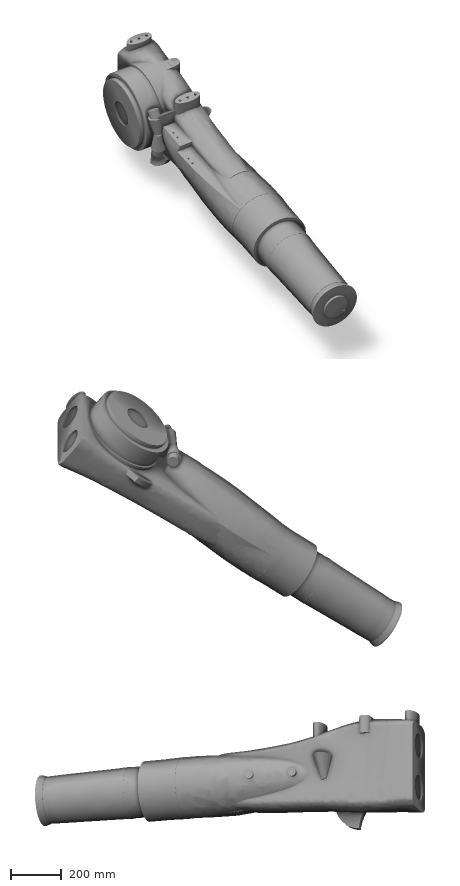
import cadquery as cq
import math


BACK_X = -198.6
OVERALL_LENGTH = 1565.5
TIP_X = BACK_X + OVERALL_LENGTH
AXIS_Z = -40.0

CASING_STATIONS = [
    (BACK_X, 81, 137, -211, 7),
    (-145, 79, 156, -206, 16),
    (-75, 70, 167, -203, 20),
    (5, 65, 170.5, -198, 20),
    (161, 64, 140, -181, 18),
    (300, 64, 107, -171, 18),
    (450, 64, 89, -161, 16),
    (530, 61, 84, -151, 13),
    (608, 50, 80, -140, 9),
]
HAUNCH_FRACTION = 0.8
BELLY_RISE = 7.0
SHOULDER_DEPTH = 22.0
HAUNCH_SLOPE = 0.6
CABLE_RECESS_RADIUS = 50.0
CABLE_RECESS_DEPTH = 8.0
CABLE_RECESS_HEIGHTS = (47, -123)

COLLAR_RADIUS = 171.0
COLLAR_FACE_Y = -80.0
DRUM_RADIUS = 163.0
DRUM_FACE_Y = -161.0
DRUM_PLATE_RADIUS = 143.0
DRUM_PLATE_FACE_Y = -180.0
DRUM_RECESS_RADIUS = 52.0
DRUM_RECESS_DEPTH = 8.0

SWELL_POINTS = [(320, 86), (484, 107), (600, 116.5)]
SWELL_START = (200, 50)
FOREARM_END_X = 764.0
FOREARM_RADIUS = 122.0
SLEEVE_MID_X = 844.0
SLEEVE_END_X = 923.0
SLEEVE_RADIUS = 119.5
TUBE_RADIUS = 101.0
TUBE_BAND_X = (990.0, 1009.0)
TUBE_BAND_RADIUS = 102.0
TUBE_NECK_X = 1268.0
TUBE_NECK_RADIUS = 95.0
TUBE_END_RADIUS = 93.0
FLANGE_START_X = 1327.0
FLANGE_RADIUS = 100.0
FLANGE_RIM_X = 1348.0
FLANGE_END_X = 1354.0
SPIGOT_RADIUS = 51.0
SPIGOT_END_X = TIP_X - 4.0
PIN_RADIUS = 4.0
PIN_Y = 36.0
PIN_DROP = 34.0
GROOVE_WIDTH = 5.0
GROOVE_DEPTH = 1.5
GROOVE_CLEARANCE = 20.0

SHELF_X = (218.0, 349.0)
SHELF_TOP_Z = 72.0
POD_STATIONS = [
    (SHELF_X[0], -116, -118, 10, -52),
    (330, -118, -130, -20, -105),
    (480, -114, -134, -25, -148),
    (600, -96, -132, -32, -156),
    (FOREARM_END_X, -48, -122, AXIS_Z, -150),
]
POD_TOP_Z = 48.0
POD_BOTTOM_Y = -52.0
SCREW_RADIUS = 4.5
SCREW_DEPTH = 12.0
SHELF_SCREWS = [(269, -100), (300, -100)]
POD_SCREWS = [(405, -112), (437, -112)]

LUG_HALF_LENGTH = 55.5
LUG_HALF_WIDTH = 24.0
LUG_BASE_Z = 105.0
REAR_LUG = (-171.0, 182.0)
FRONT_LUG = (208.0, 167.0)
LUG_HOLE_RADIUS = 6.0
LUG_HOLE_DEPTH = 20.0
LUG_HOLE_PITCH = 35.0

GUIDE_Y = -134.0
GUIDE_HOSE_RADIUS = 22.0
GUIDE_FLARE_RADIUS = 29.0
GUIDE_WAIST_RADIUS = 16.0
GUIDE_TOP = (168.0, GUIDE_Y, 131.0)
GUIDE_TOP_FLARE = (185.0, GUIDE_Y, 105.0)
GUIDE_WAIST = (207.0, GUIDE_Y, 35.0)
GUIDE_LOW_FLARE = (209.0, GUIDE_Y, -38.0)
GUIDE_LOW = (205.0, GUIDE_Y, -69.0)
GUIDE_ARM = [(157, 85), (212, 128), (212, 40), (192, 40)]

HOSE_STUB_X = 5.0
HOSE_STUB_Y = 57.0
HOSE_STUB_TOP_Z = 171.0
HOSE_STUB_BASE_Z = 100.0
HOSE_STUB_RADIUS = 22.5
SADDLE_WIDTH = 48.0
SADDLE_INNER_Y = 13.0
SADDLE_TOP_Z = 169.5

BRACKET_X = 173.0
BRACKET_Y = 60.0
BRACKET_TOP_Z = 22.0
BRACKET_HEIGHT = 95.0
BRACKET_HALF_WIDTH = 37.0
BRACKET_REACH = 66.5
BRACKET_FOOT_RADIUS = 12.0

BUTTON_RADIUS = 16.0
BUTTONS = [(296, 93.0), (466, 113.0)]
BUTTON_INNER_Y = 40.0

FIN_OUTER = [(35, -180), (70, -247.4), (155, -180)]
FIN_EDGE_MIDS = [(60, -220), (120, -230)]
FIN_STRIP_INNER = [(-38, -180), (-50, -210), (-66, -252)]
FIN_STRIP_WIDTH = 26.0


def disc_y(radius, start_y, end_y):
    """Cylinder on the drum axis between two y positions."""
    return cq.Workplane("XZ", origin=(0, start_y, 0)).circle(radius).extrude(start_y - end_y)


def rod(start, end, start_radius, end_radius=None):
    """Cylinder or cone between two points."""
    span = cq.Vector(*end) - cq.Vector(*start)
    base = cq.Vector(*start)
    if end_radius is None:
        solid = cq.Solid.makeCylinder(start_radius, span.Length, base, span)
    else:
        solid = cq.Solid.makeCone(start_radius, end_radius, span.Length, base, span)
    return cq.Workplane(obj=solid)


def casing_half_edge(x, half_width, top, bottom, drop):
    """One side of a section, from the crest over the haunch and down to the lowest point."""
    haunch_y = HAUNCH_FRACTION * half_width
    shoulder = top - drop - SHOULDER_DEPTH
    foot = bottom + BELLY_RISE + SHOULDER_DEPTH
    side = math.copysign(1, half_width)
    course = [
        (0, top, side, 0),
        (haunch_y, top - drop, side, -HAUNCH_SLOPE),
        (half_width, shoulder, 0, -1),
        (half_width, foot, 0, -1),
        (haunch_y, bottom + BELLY_RISE, -side, -HAUNCH_SLOPE),
        (0, bottom, -side, 0),
    ]
    points = [cq.Vector(x, y, z) for y, z, _, _ in course]
    headings = [cq.Vector(0, y, z).normalized() for _, _, y, z in course]
    return cq.Edge.makeSpline(points, tangents=headings)


def casing_section(x, half_width, top, bottom, drop):
    """Rounded upright section made of two mirrored halves that meet on the Y = 0 plane."""
    return cq.Wire.assembleEdges([
        casing_half_edge(x, half_width, top, bottom, drop),
        casing_half_edge(x, -half_width, top, bottom, drop),
    ])


def make_casing():
    wires = [casing_section(*station) for station in CASING_STATIONS]
    casing = cq.Workplane(obj=cq.Solid.makeLoft(wires))
    for height in CABLE_RECESS_HEIGHTS:
        recess = rod((BACK_X, 0, height), (BACK_X + CABLE_RECESS_DEPTH, 0, height), CABLE_RECESS_RADIUS)
        casing = casing.cut(recess)
    return casing


def make_drum():
    drum = disc_y(COLLAR_RADIUS, 0, COLLAR_FACE_Y)
    drum = drum.union(disc_y(DRUM_RADIUS, 0, DRUM_FACE_Y))
    drum = drum.union(disc_y(DRUM_PLATE_RADIUS, 0, DRUM_PLATE_FACE_Y))
    return drum.cut(disc_y(DRUM_RECESS_RADIUS, DRUM_PLATE_FACE_Y + DRUM_RECESS_DEPTH, DRUM_PLATE_FACE_Y))


def groove(x, radius):
    """Ring that cuts a shallow seam groove around the forearm axis."""
    seam_plane = cq.Workplane("YZ", origin=(x, 0, AXIS_Z))
    ring = seam_plane.circle(radius + GROOVE_CLEARANCE).circle(radius - GROOVE_DEPTH)
    return ring.extrude(GROOVE_WIDTH)


def make_forearm():
    """Swell, sleeve, wrist tube, end flange and spigot, turned about the forearm axis."""
    profile = (
        cq.Workplane("XZ", origin=(0, 0, AXIS_Z))
        .moveTo(SWELL_START[0], 0)
        .lineTo(*SWELL_START)
        .spline(SWELL_POINTS + [(FOREARM_END_X, FOREARM_RADIUS)], includeCurrent=True)
        .lineTo(SLEEVE_MID_X, SLEEVE_RADIUS)
        .lineTo(SLEEVE_END_X, SLEEVE_RADIUS)
        .lineTo(SLEEVE_END_X, TUBE_RADIUS)
        .lineTo(TUBE_BAND_X[0], TUBE_RADIUS)
        .lineTo(TUBE_BAND_X[0], TUBE_BAND_RADIUS)
        .lineTo(TUBE_BAND_X[1], TUBE_BAND_RADIUS)
        .lineTo(TUBE_BAND_X[1], TUBE_RADIUS)
        .lineTo(TUBE_NECK_X, TUBE_NECK_RADIUS)
        .lineTo(FLANGE_START_X, TUBE_END_RADIUS)
        .lineTo(FLANGE_RIM_X, FLANGE_RADIUS)
        .lineTo(FLANGE_END_X, FLANGE_RADIUS)
        .lineTo(FLANGE_END_X, SPIGOT_RADIUS)
        .lineTo(SPIGOT_END_X, SPIGOT_RADIUS)
        .lineTo(SPIGOT_END_X, 0)
        .close()
    )
    forearm = profile.revolve(360, (0, 0, 0), (1, 0, 0))
    pin_z = AXIS_Z - PIN_DROP
    return forearm.union(rod((FLANGE_END_X, PIN_Y, pin_z), (TIP_X, PIN_Y, pin_z), PIN_RADIUS))


def pod_section(x, top_y, widest_y, widest_z, bottom_z):
    """Flat-topped half round on the -Y side."""
    inner_top = cq.Vector(x, 0, SHELF_TOP_Z)
    outer_top = cq.Vector(x, top_y, SHELF_TOP_Z)
    outer_bottom = cq.Vector(x, POD_BOTTOM_Y, bottom_z)
    inner_bottom = cq.Vector(x, 0, bottom_z)
    return cq.Wire.assembleEdges([
        cq.Edge.makeLine(inner_top, outer_top),
        cq.Edge.makeThreePointArc(outer_top, cq.Vector(x, widest_y, widest_z), outer_bottom),
        cq.Edge.makeLine(outer_bottom, inner_bottom),
        cq.Edge.makeLine(inner_bottom, inner_top),
    ])


def make_pod():
    wires = [pod_section(*station) for station in POD_STATIONS]
    pod = cq.Workplane(obj=cq.Solid.makeLoft(wires))
    step_length = FOREARM_END_X - SHELF_X[1]
    step = (
        cq.Workplane("XY", origin=(SHELF_X[1], -FOREARM_RADIUS * 2, POD_TOP_Z))
        .box(step_length, FOREARM_RADIUS * 2, FOREARM_RADIUS, centered=False)
    )
    pod = pod.cut(step)
    for screws, top in ((SHELF_SCREWS, SHELF_TOP_Z), (POD_SCREWS, POD_TOP_Z)):
        holes = cq.Workplane("XY", origin=(0, 0, top)).pushPoints(screws).circle(SCREW_RADIUS)
        pod = pod.cut(holes.extrude(-SCREW_DEPTH))
    return pod


def make_lug(centre_x, top_z):
    """Oval mounting lug with a row of three holes."""
    lug = (
        cq.Workplane("XY", origin=(centre_x, 0, LUG_BASE_Z))
        .ellipse(LUG_HALF_WIDTH, LUG_HALF_LENGTH)
        .extrude(top_z - LUG_BASE_Z)
    )
    holes = (
        cq.Workplane("XY", origin=(centre_x, 0, top_z))
        .rarray(1, LUG_HOLE_PITCH, 1, 3)
        .circle(LUG_HOLE_RADIUS)
        .extrude(-LUG_HOLE_DEPTH)
    )
    return lug.cut(holes)


def make_hose_guide():
    guide = rod(GUIDE_TOP, GUIDE_TOP_FLARE, GUIDE_HOSE_RADIUS)
    guide = guide.union(rod(GUIDE_TOP_FLARE, GUIDE_WAIST, GUIDE_FLARE_RADIUS, GUIDE_WAIST_RADIUS))
    guide = guide.union(rod(GUIDE_WAIST, GUIDE_LOW_FLARE, GUIDE_WAIST_RADIUS, GUIDE_FLARE_RADIUS))
    guide = guide.union(rod(GUIDE_LOW_FLARE, GUIDE_LOW, GUIDE_HOSE_RADIUS))
    arm = cq.Workplane("XZ").polyline(GUIDE_ARM).close().extrude(-GUIDE_Y)
    return guide.union(arm)


def make_hose_stub():
    stub = rod((HOSE_STUB_X, HOSE_STUB_Y, HOSE_STUB_BASE_Z),
               (HOSE_STUB_X, HOSE_STUB_Y, HOSE_STUB_TOP_Z), HOSE_STUB_RADIUS)
    saddle = (
        cq.Workplane("XY", origin=(HOSE_STUB_X - SADDLE_WIDTH / 2, SADDLE_INNER_Y, HOSE_STUB_BASE_Z))
        .box(SADDLE_WIDTH, HOSE_STUB_Y - SADDLE_INNER_Y, SADDLE_TOP_Z - HOSE_STUB_BASE_Z, centered=False)
    )
    return stub.union(saddle)


def make_bracket():
    """Half-oval bracket on the +Y side, narrowing downwards into the casing."""
    return (
        cq.Workplane("XY", origin=(BRACKET_X, BRACKET_Y, BRACKET_TOP_Z))
        .ellipse(BRACKET_HALF_WIDTH, BRACKET_REACH)
        .workplane(offset=-BRACKET_HEIGHT)
        .ellipse(BRACKET_FOOT_RADIUS, BRACKET_FOOT_RADIUS)
        .loft()
    )


def make_button(x, outer_y):
    """Round button standing out of the +Y side of the forearm."""
    return rod((x, BUTTON_INNER_Y, AXIS_Z), (x, outer_y, AXIS_Z), BUTTON_RADIUS)


def make_fin():
    """Curved fin below the casing: a side outline intersected with a bent strip."""
    rear, tip, front = FIN_OUTER
    outline = (
        cq.Workplane("XZ")
        .moveTo(*rear)
        .threePointArc(FIN_EDGE_MIDS[0], tip)
        .threePointArc(FIN_EDGE_MIDS[1], front)
        .close()
        .extrude(DRUM_RADIUS)
    )
    inner = FIN_STRIP_INNER
    outer = [(y - FIN_STRIP_WIDTH, z) for y, z in inner]
    strip = (
        cq.Workplane("YZ")
        .moveTo(*inner[0])
        .threePointArc(inner[1], inner[2])
        .lineTo(*outer[2])
        .threePointArc(outer[1], outer[0])
        .close()
        .extrude(DRUM_RADIUS)
    )
    return outline.intersect(strip)


result = make_casing().union(make_forearm()).union(make_pod())
result = result.cut(groove(FOREARM_END_X, FOREARM_RADIUS))
result = result.cut(groove(FLANGE_START_X - GROOVE_WIDTH, TUBE_END_RADIUS))
result = result.union(make_drum()).union(make_hose_guide())
for lug in (REAR_LUG, FRONT_LUG):
    result = result.union(make_lug(*lug))
for fitting in (make_hose_stub(), make_bracket(), make_fin()):
    result = result.union(fitting)
for button in BUTTONS:
    result = result.union(make_button(*button))